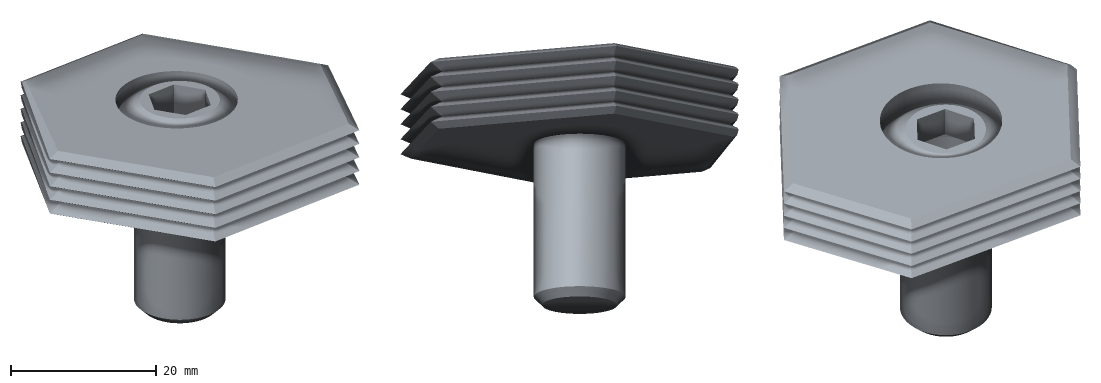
import cadquery as cq
import math

washer_length = 48.8
washer_height = 10.0
nearest_flat = 18.0
farthest_flat = 22.0
spiral_flats = 5
last_flat_left_x = 15.7
flat_step = (farthest_flat - nearest_flat) / (spiral_flats - 1)

tooth_count = 5
crest_span = 8.5
flank_angle = 60.0
crest_overrun = 1.0
tooth_pitch = crest_span / (tooth_count - 1)

head_diameter = 16.9
head_eccentricity = 1.25
head_height = 6.75
head_recess = 0.65
dome_radius = 12.15
dome_flat_diameter = 11.08
dome_margin = 0.5
shank_diameter = 12.7
overall_height = 32.8
shank_chamfer = 1.15
socket_across_flats = 7.9
socket_depth = 4.4
socket_cone_angle = 118.0

head_top_z = washer_height - head_recess
seat_z = head_top_z - head_height
shank_bottom_z = washer_height - overall_height


def corner(angle_a, distance_a, angle_b, distance_b):
    """Point where two flats meet, each given by its normal angle and distance."""
    ax, ay = math.cos(math.radians(angle_a)), math.sin(math.radians(angle_a))
    bx, by = math.cos(math.radians(angle_b)), math.sin(math.radians(angle_b))
    cross = ax * by - ay * bx
    return (
        (distance_a * by - distance_b * ay) / cross,
        (distance_b * ax - distance_a * bx) / cross,
    )


def washer_corners():
    """Outline of the washer, counter-clockwise from the right end of the first flat."""
    flats = [(90 + 60 * i, nearest_flat + flat_step * i) for i in range(spiral_flats)]
    shared = [corner(*a, *b) for a, b in zip(flats, flats[1:])]
    left_x = shared[1][0]
    right_x = left_x + washer_length
    fifth_angle, fifth_distance = flats[-1]
    normal = math.radians(fifth_angle)
    right_y = (fifth_distance - right_x * math.cos(normal)) / math.sin(normal)
    return [(last_flat_left_x, nearest_flat), *shared, (right_x, right_y)]


def crest_corners():
    """Outline followed by the tooth crests: the left corner lies farther along its flat."""
    corners = washer_corners()
    start, left = corners[1], corners[2]
    stretch = 1 + crest_overrun / math.dist(start, left)
    corners[2] = (
        start[0] + stretch * (left[0] - start[0]),
        start[1] + stretch * (left[1] - start[1]),
    )
    return corners


def make_tooth(crest_z):
    """Double bevel, widest at its crest and half a pitch tall on each side."""
    crest = cq.Workplane("XY").workplane(offset=crest_z).polyline(crest_corners()).close()
    upper = crest.extrude(tooth_pitch / 2, taper=flank_angle)
    return upper.union(upper.mirror("XY", (0, 0, crest_z)))


def make_washer():
    washer = cq.Workplane("XY").polyline(washer_corners()).close().extrude(washer_height)

    first_crest_z = (washer_height - crest_span) / 2
    teeth = make_tooth(first_crest_z)
    for i in range(1, tooth_count):
        teeth = teeth.union(make_tooth(first_crest_z + i * tooth_pitch))
    washer = washer.intersect(teeth)

    counterbore = (
        cq.Workplane("XY").workplane(offset=seat_z).circle(head_diameter / 2).extrude(washer_height)
    )
    shank_hole = (
        cq.Workplane("XY").center(0, head_eccentricity).circle(shank_diameter / 2).extrude(washer_height)
    )
    return washer.cut(counterbore).cut(shank_hole)


def make_dome():
    """Button dome about the screw axis, wide enough to cover the eccentric head."""
    flat_radius = dome_flat_diameter / 2
    rim_radius = head_diameter / 2 + head_eccentricity + dome_margin
    centre_z = head_top_z - math.sqrt(dome_radius**2 - flat_radius**2)
    rim_z = centre_z + math.sqrt(dome_radius**2 - rim_radius**2)
    middle_radius = (flat_radius + rim_radius) / 2
    middle_z = centre_z + math.sqrt(dome_radius**2 - middle_radius**2)
    return (
        cq.Workplane("XZ", origin=(0, head_eccentricity, 0))
        .moveTo(0, seat_z)
        .lineTo(0, head_top_z)
        .lineTo(flat_radius, head_top_z)
        .threePointArc((middle_radius, middle_z), (rim_radius, rim_z))
        .lineTo(rim_radius, seat_z)
        .close()
        .revolve(360, (0, 0, 0), (0, 1, 0))
    )


def make_socket():
    """Hexagon socket with a drill-point cone at the bottom."""
    across_corners = socket_across_flats / math.cos(math.radians(30))
    cone_radius = socket_across_flats / 2
    cone_depth = cone_radius / math.tan(math.radians(socket_cone_angle / 2))
    floor_z = head_top_z - socket_depth
    hexagon = (
        cq.Workplane("XY", origin=(0, head_eccentricity, floor_z))
        .polygon(6, across_corners)
        .extrude(socket_depth)
    )
    cone = cq.Workplane(
        cq.Solid.makeCone(0, cone_radius, cone_depth, cq.Vector(0, head_eccentricity, floor_z - cone_depth))
    )
    return hexagon.union(cone)


def make_screw():
    head = (
        cq.Workplane("XY").workplane(offset=seat_z).circle(head_diameter / 2).extrude(head_height)
        .intersect(make_dome())
    )
    shank = (
        cq.Workplane("XY", origin=(0, head_eccentricity, shank_bottom_z))
        .circle(shank_diameter / 2)
        .extrude(seat_z - shank_bottom_z)
        .faces("<Z")
        .chamfer(shank_chamfer)
    )
    return head.union(shank).cut(make_socket())


washer = make_washer()
cam_screw = make_screw()

result = cq.Compound.makeCompound([washer.val(), cam_screw.val()])